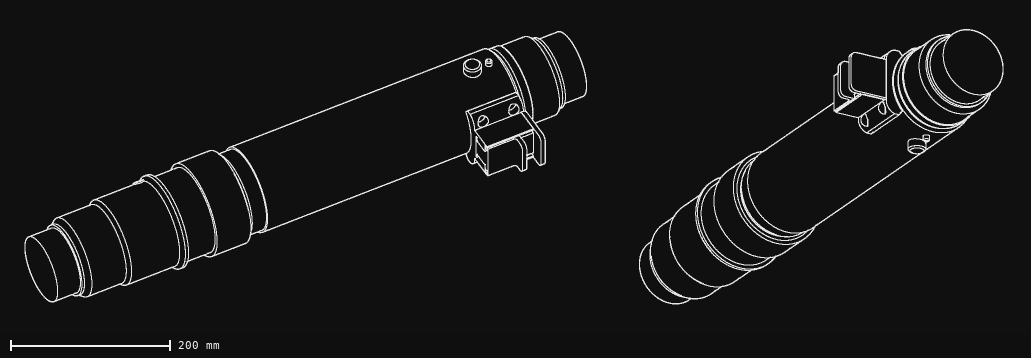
import cadquery as cq
import math


LENGTH = 752.0
END_Y = LENGTH / 2
TUBE_R = 114.0 / 2
TIP_R = 87.0 / 2
SHOULDER_R = 95.0 / 2
STEP_R = 106.0 / 2
BAND_R = 109.0 / 2
COLLAR_R = 125.0 / 2

TIP_LENGTH = 32.0
SHOULDER_LENGTH = 4.0
END_CONE_LENGTH = 7.5

BAND_TOP_Y = 294.0
BAND_GROOVE_Y = 283.5
BARREL_TOP_Y = 276.0
BARREL_TOP_CONE = 4.0
BARREL_BOTTOM_Y = -85.0
LOWER_BAND_Y = -105.0
NECK_R = 52.0
NECK_CHAMFER = 3.0

COLLAR_TOP_Y = -111.0
COLLAR_BOTTOM_Y = -159.5
FLANGE_TOP_Y = -200.0
FLANGE_THICKNESS = 4.5
FLANGE_CONE = 5.0
NOZZLE_STEP_Y = -278.0
NOZZLE_STEP_CONE = 5.0

MARKER_DIAMETER = 14.0
MARKER_Y = -216.0
MARKER_ANGLE = 45.0
MARKER_TOP_R = 59.0

STUD_DIAMETER = 22.5
STUD_Y = 237.0
STUD_TOP_Z = 68.5
STUD_CHAMFER = 2.0
PIN_DIAMETER = 8.0
PIN_Y = 260.0
PIN_TOP_Z = 64.0
PIN_CHAMFER = 1.5
ROOT_Z = 45.0

BRACKET_BOTTOM_Y = 204.5
SADDLE_LENGTH = 69.0
SADDLE_EDGE_X = 43.0
SADDLE_FLAT_START_X = 47.0
SADDLE_FLAT_END_X = 54.0
SADDLE_ARC_MID_X = 62.0
SADDLE_ARC_MID_Z = 39.0
SADDLE_FACE_X = 66.0
SADDLE_FACE_HALF_HEIGHT = 29.0
SADDLE_HALF_HEIGHT = 43.5
SCREW_HOLE_DIAMETER = 14.0
SCREW_HOLE_FLOOR_X = 56.5
SCREW_SPACING_Y = 43.5
SCREW_Z = 33.0
BLOCK_END_X = 98.5
BLOCK_LENGTH = 66.0
BLOCK_HALF_HEIGHT = 25.5
PLATE_THICKNESS = 6.0
PLATE_END_X = 119.0
PLATE_HALF_HEIGHT = 26.0
PLATE_CORNER_R = 7.5
PLATE_BEVEL = 2.0

RAIL_BACK_X = 70.0
RAIL_BACK_THICKNESS = 2.0
RAIL_FLANGE_HALF_HEIGHT = 18.0
RAIL_WEB_HALF_HEIGHT = 12.0
RAIL_FRONT_X = 93.0
BLOCK_MOUTH_HALF_HEIGHT = 23.0
LEG_THICKNESS = 3.0
LEG_HALF_HEIGHT = 24.0
FOOT_TOP_Y = 250.0
BEND_R = 4.0


def end_steps(sign):
    """Radius and Y points of one end, from the wide step out to the axis."""
    shoulder_y = END_Y - TIP_LENGTH
    cone_y = shoulder_y - SHOULDER_LENGTH
    step_y = cone_y - END_CONE_LENGTH
    steps = [
        (STEP_R, step_y),
        (SHOULDER_R, cone_y),
        (SHOULDER_R, shoulder_y),
        (TIP_R, shoulder_y),
        (TIP_R, END_Y),
        (0, END_Y),
    ]
    return [(radius, sign * y) for radius, y in steps]


def turned(points):
    """Solid turned about the Y axis from a closed half outline."""
    return cq.Workplane("XY").polyline(points).close().revolve(360, (0, 0, 0), (0, 1, 0))


def round_post(diameter, y, top_z, chamfer):
    """Chamfered post standing on the barrel along +Z."""
    return (
        cq.Workplane("XY", origin=(0, y, ROOT_Z))
        .circle(diameter / 2)
        .extrude(top_z - ROOT_Z)
        .faces(">Z")
        .chamfer(chamfer)
    )


def block(x_start, x_end, y_start, y_end, half_height):
    """Box between two X and two Y places, centred on Z = 0."""
    size = (x_end - x_start, y_end - y_start, 2 * half_height)
    centre = ((x_start + x_end) / 2, (y_start + y_end) / 2, 0)
    return cq.Workplane("XY", origin=centre).box(*size)


def round_outer_corners(plate):
    """Round the two corners of a plate at its +X end."""
    return plate.edges("|Y and >X").fillet(PLATE_CORNER_R)


def make_barrel():
    points = [
        (0, COLLAR_TOP_Y),
        (NECK_R, COLLAR_TOP_Y),
        (NECK_R, LOWER_BAND_Y - NECK_CHAMFER),
        (BAND_R, LOWER_BAND_Y),
        (BAND_R, BARREL_BOTTOM_Y),
        (TUBE_R, BARREL_BOTTOM_Y),
        (TUBE_R, BARREL_TOP_Y),
        (STEP_R, BARREL_TOP_Y + BARREL_TOP_CONE),
        (BAND_R, BAND_GROOVE_Y),
        (BAND_R, BAND_TOP_Y),
        (STEP_R, BAND_TOP_Y),
    ]
    barrel = turned(points + end_steps(1))
    posts = round_post(STUD_DIAMETER, STUD_Y, STUD_TOP_Z, STUD_CHAMFER).union(
        round_post(PIN_DIAMETER, PIN_Y, PIN_TOP_Z, PIN_CHAMFER)
    )
    return barrel.union(posts).union(posts.mirror("XY"))


def make_collar():
    return (
        cq.Workplane("XZ", origin=(0, COLLAR_TOP_Y, 0))
        .circle(COLLAR_R)
        .circle(TUBE_R)
        .extrude(COLLAR_TOP_Y - COLLAR_BOTTOM_Y)
    )


def make_nozzle():
    flange_bottom_y = FLANGE_TOP_Y - FLANGE_THICKNESS
    points = [
        (0, COLLAR_TOP_Y),
        (TUBE_R, COLLAR_TOP_Y),
        (TUBE_R, FLANGE_TOP_Y),
        (COLLAR_R, FLANGE_TOP_Y),
        (COLLAR_R, flange_bottom_y),
        (TUBE_R, flange_bottom_y - FLANGE_CONE),
        (TUBE_R, NOZZLE_STEP_Y),
        (STEP_R, NOZZLE_STEP_Y - NOZZLE_STEP_CONE),
    ]
    marker = (
        cq.Workplane("XY", origin=(0, MARKER_Y, ROOT_Z))
        .circle(MARKER_DIAMETER / 2)
        .extrude(MARKER_TOP_R - ROOT_Z)
        .rotate((0, 0, 0), (0, 1, 0), -MARKER_ANGLE)
    )
    return turned(points + end_steps(-1)).union(marker)


def make_saddle():
    """Block hollowed to seat on the barrel, with four screw recesses."""
    edge_z = math.sqrt(TUBE_R**2 - SADDLE_EDGE_X**2)
    saddle = (
        cq.Workplane("XZ", origin=(0, BRACKET_BOTTOM_Y + SADDLE_LENGTH, 0))
        .moveTo(SADDLE_EDGE_X, -edge_z)
        .lineTo(SADDLE_FLAT_START_X, -SADDLE_HALF_HEIGHT)
        .lineTo(SADDLE_FLAT_END_X, -SADDLE_HALF_HEIGHT)
        .threePointArc((SADDLE_ARC_MID_X, -SADDLE_ARC_MID_Z), (SADDLE_FACE_X, -SADDLE_FACE_HALF_HEIGHT))
        .lineTo(SADDLE_FACE_X, SADDLE_FACE_HALF_HEIGHT)
        .threePointArc((SADDLE_ARC_MID_X, SADDLE_ARC_MID_Z), (SADDLE_FLAT_END_X, SADDLE_HALF_HEIGHT))
        .lineTo(SADDLE_FLAT_START_X, SADDLE_HALF_HEIGHT)
        .lineTo(SADDLE_EDGE_X, edge_z)
        .threePointArc((TUBE_R, 0), (SADDLE_EDGE_X, -edge_z))
        .close()
        .extrude(SADDLE_LENGTH)
    )
    screw_recesses = (
        cq.Workplane("YZ", origin=(SCREW_HOLE_FLOOR_X, BRACKET_BOTTOM_Y + SADDLE_LENGTH / 2, 0))
        .rect(SCREW_SPACING_Y, 2 * SCREW_Z, forConstruction=True)
        .vertices()
        .circle(SCREW_HOLE_DIAMETER / 2)
        .extrude(SADDLE_FACE_X - SCREW_HOLE_FLOOR_X)
    )
    return saddle.cut(screw_recesses)


def make_rail(front_half_height):
    """I-shaped rail along the block, with a chosen height of its front flange."""
    span_y = (BRACKET_BOTTOM_Y, BRACKET_BOTTOM_Y + BLOCK_LENGTH)
    back_end_x = RAIL_BACK_X + RAIL_BACK_THICKNESS
    web = block(RAIL_BACK_X, BLOCK_END_X, *span_y, RAIL_WEB_HALF_HEIGHT)
    back = block(RAIL_BACK_X, back_end_x, *span_y, RAIL_FLANGE_HALF_HEIGHT)
    front = block(RAIL_FRONT_X, BLOCK_END_X, *span_y, front_half_height)
    return web.union(back).union(front)


def make_bracket():
    plate_y = BRACKET_BOTTOM_Y + BLOCK_LENGTH
    body = block(SADDLE_FACE_X, BLOCK_END_X, BRACKET_BOTTOM_Y, plate_y, BLOCK_HALF_HEIGHT)
    body = body.cut(make_rail(BLOCK_MOUTH_HALF_HEIGHT))
    end_plate = block(
        SADDLE_FACE_X, PLATE_END_X, plate_y, plate_y + PLATE_THICKNESS, PLATE_HALF_HEIGHT
    )
    end_plate = round_outer_corners(end_plate).edges("|Z and <X and >Y").chamfer(PLATE_BEVEL)
    return make_saddle().union(body).union(end_plate)


def make_angle_plate():
    foot_bottom_y = FOOT_TOP_Y - PLATE_THICKNESS
    leg_end_x = BLOCK_END_X + LEG_THICKNESS
    leg = block(BLOCK_END_X, leg_end_x, BRACKET_BOTTOM_Y, FOOT_TOP_Y, LEG_HALF_HEIGHT)
    foot = block(BLOCK_END_X, PLATE_END_X, foot_bottom_y, FOOT_TOP_Y, LEG_HALF_HEIGHT)
    bend = (
        cq.Workplane("XY", origin=(0, 0, -LEG_HALF_HEIGHT))
        .moveTo(leg_end_x, foot_bottom_y)
        .lineTo(leg_end_x + BEND_R, foot_bottom_y)
        .radiusArc((leg_end_x, foot_bottom_y - BEND_R), -BEND_R)
        .close()
        .extrude(2 * LEG_HALF_HEIGHT)
    )
    rail = make_rail(RAIL_FLANGE_HALF_HEIGHT)
    return rail.union(leg).union(round_outer_corners(foot)).union(bend)


barrel = make_barrel()
collar = make_collar()
nozzle = make_nozzle()
bracket = make_bracket()
angle_plate = make_angle_plate()

result = cq.Compound.makeCompound(
    [barrel.val(), collar.val(), nozzle.val(), bracket.val(), angle_plate.val()]
)